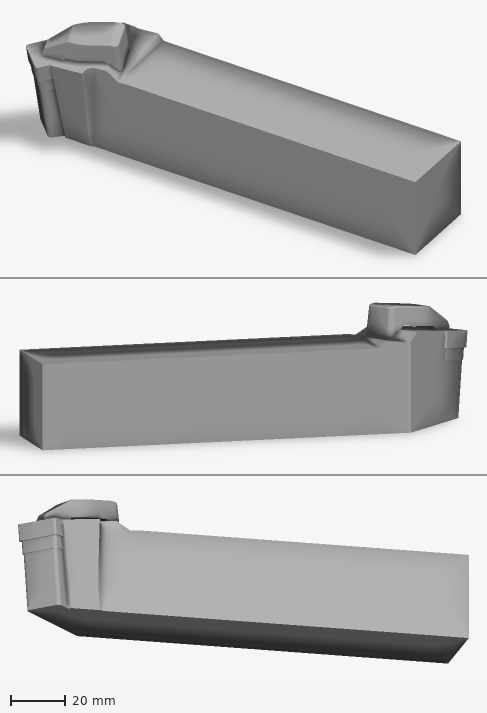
import cadquery as cq
import math

LENGTH = 169.7
SHANK = 32.0
HEADROOM = 67.9

NOSE_CORNER_X = 29.4
NECK_X = 28.8
NECK_RADIUS = 2.9
BULGE = 4.5
BULGE_RELIEF = 7.0
BULGE_CORNER_X = 15.1
HEAD_Z = 32.5

SEAT_TILT = 7.5
SEAT_Z = 31.9

INSERT_SIDE = 16.1
INSERT_THICKNESS = 6.3
INSERT_CHAMFER = 0.7
SHIM_THICKNESS = 4.8
SHIM_INSET = 0.5
SHIM_RADIUS = 1.5
NOSE_INSET = 0.8

CLAMP_ANGLE = 20.0
CLAMP_TIP_X = 8.3
CLAMP_TIP_Y = 2.4
RIDGE_U = 25.8
STRIP_END_U = 30.2
STRIP_DROP = 3.7
RUNOUT_X = 41.5

CLAMP_BACK_U = 30.4
CLAMP_BACK_RADIUS = 2.0
CLAMP_HALF_WIDTH = 8.0
CLAMP_TAPER = 21.0
CLAMP_SHOULDER_U = 12.7
CLAMP_FLANK_RADIUS = 16.5
CLAMP_DRAFT = 0.07
CLAMP_WEDGE_LEAN = 0.56
CLAMP_HEIGHT = 8.7
CLAMP_BACK_HEIGHT = 8.0
CLAMP_BREAK_U = 11.0
CLAMP_TOP_RIDGE_U = 27.3
CLAMP_TIP_LENGTH = 1.0
CLAMP_TIP_LOW = 1.7
CLAMP_TIP_HIGH = 3.5
PAD_END_U = 8.5
PAD_LIFT = 1.5
TAIL_DEPTH = 4.2
CLAMP_EDGE = 0.7

ROOT2 = math.sqrt(2)
SLOPE = math.tan(math.radians(SEAT_TILT))
NORMAL = cq.Vector(
    -math.sin(math.radians(SEAT_TILT)) / ROOT2,
    -math.sin(math.radians(SEAT_TILT)) / ROOT2,
    math.cos(math.radians(SEAT_TILT)),
)
ACROSS = cq.Vector(1, -1, 0).normalized()
CORNER_CUT = INSERT_CHAMFER / ROOT2

LOWEST_Y = -7.6
TIP_X = -CORNER_CUT
TIP_Y = LOWEST_Y - CORNER_CUT + INSERT_SIDE / ROOT2
SEAT = cq.Plane(origin=(TIP_X, TIP_Y, SEAT_Z), xDir=ACROSS, normal=NORMAL)


def seat_height(x, y):
    """Height of the seat plane above a point of the XY plane."""
    return SEAT_Z + SLOPE / ROOT2 * (x + y - TIP_X - TIP_Y)


CLAMP_SIDEWAYS_X = -math.sin(math.radians(CLAMP_ANGLE))
CLAMP_SIDEWAYS_Y = math.cos(math.radians(CLAMP_ANGLE))
CLAMP_SIDEWAYS = cq.Vector(
    CLAMP_SIDEWAYS_X,
    CLAMP_SIDEWAYS_Y,
    SLOPE / ROOT2 * (CLAMP_SIDEWAYS_X + CLAMP_SIDEWAYS_Y),
).normalized()
CLAMP_AXIS = CLAMP_SIDEWAYS.cross(NORMAL)
CLAMP_ORIGIN = cq.Vector(CLAMP_TIP_X, CLAMP_TIP_Y, seat_height(CLAMP_TIP_X, CLAMP_TIP_Y))
CLAMP_SEAT = cq.Plane(origin=CLAMP_ORIGIN, xDir=CLAMP_AXIS, normal=NORMAL)
CLAMP_SECTION = cq.Plane(origin=CLAMP_ORIGIN, xDir=CLAMP_AXIS, normal=-CLAMP_SIDEWAYS)


def seat_block(inset, left, top, thickness):
    """Square block parallel to the insert, its top a given depth below the seat plane."""
    side = INSERT_SIDE - inset
    return (
        cq.Workplane(SEAT)
        .workplane(offset=-top - thickness)
        .moveTo(left, inset)
        .lineTo(side, inset)
        .lineTo(side, side)
        .lineTo(left, side)
        .close()
        .extrude(thickness)
    )


def make_insert():
    return seat_block(0, 0, 0, INSERT_THICKNESS).edges(
        cq.selectors.ParallelDirSelector(NORMAL)
    ).chamfer(INSERT_CHAMFER)


def make_shim():
    return seat_block(SHIM_INSET, SHIM_INSET, INSERT_THICKNESS, SHIM_THICKNESS).edges(
        cq.selectors.ParallelDirSelector(NORMAL)
    ).fillet(SHIM_RADIUS)


def make_nose():
    """Support below the shim, flush with the head's 45 degree side face and cut off at Z = 0."""
    left = ((NOSE_CORNER_X - SHANK) - (TIP_X - TIP_Y)) / ROOT2
    column = seat_block(NOSE_INSET, left, INSERT_THICKNESS + SHIM_THICKNESS, SHANK)
    column = column.edges(cq.selectors.ParallelDirSelector(NORMAL)).fillet(SHIM_RADIUS)
    above_ground = cq.Workplane("XY").rect(2 * HEADROOM, 2 * HEADROOM).extrude(HEADROOM)
    return column.intersect(above_ground)


def make_block():
    """Shank and head in plan, with the round neck."""
    overhang = 2 * BULGE
    left_x = NOSE_CORNER_X - SHANK - overhang
    arc = NECK_RADIUS * (1 - 1 / ROOT2)
    return (
        cq.Workplane("XY")
        .moveTo(LENGTH, 0)
        .lineTo(LENGTH, SHANK)
        .lineTo(NOSE_CORNER_X, SHANK)
        .lineTo(left_x, -overhang)
        .lineTo(NECK_X, -overhang)
        .lineTo(NECK_X, -NECK_RADIUS)
        .threePointArc((NECK_X + arc, -arc), (NECK_X + NECK_RADIUS, 0))
        .close()
        .extrude(HEADROOM)
    )


def leaning_cutter(outward, lean):
    """Prism in front of a face through the bulge's upper left corner that leans back below it."""
    outward = outward.normalized()
    section = cq.Plane(
        origin=(BULGE_CORNER_X, -BULGE, HEAD_Z),
        xDir=outward,
        normal=outward.cross(cq.Vector(0, 0, 1)),
    )
    return (
        cq.Workplane(section)
        .moveTo(-HEAD_Z * lean, -HEAD_Z)
        .lineTo(HEADROOM, -HEAD_Z)
        .lineTo(HEADROOM, HEAD_Z)
        .lineTo(HEAD_Z * lean, HEAD_Z)
        .close()
        .extrude(HEADROOM, both=True)
    )


def trim_front(block):
    """Relieved front of the bulge, and the narrow face behind the nose that meets it."""
    lean = math.tan(math.radians(BULGE_RELIEF))
    bulge_front = leaning_cutter(cq.Vector(0, -1, 0), lean)
    behind_nose = leaning_cutter(cq.Vector(-1, -1, 0), ROOT2 * lean)
    return block.cut(bulge_front).cut(behind_nose)


def trim_top(block):
    """Seat plane, sloping strip and lower plane over the head, then the step to the shank's top."""
    head_profile = (
        cq.Workplane(CLAMP_SECTION)
        .moveTo(-HEADROOM, 0)
        .lineTo(RIDGE_U, 0)
        .lineTo(STRIP_END_U, -STRIP_DROP)
        .lineTo(2 * LENGTH, -STRIP_DROP)
        .lineTo(2 * LENGTH, -2 * LENGTH)
        .lineTo(-HEADROOM, -2 * LENGTH)
        .close()
        .extrude(LENGTH, both=True)
    )
    shank_profile = (
        cq.Workplane("XZ")
        .moveTo(LENGTH, 0)
        .lineTo(LENGTH, SHANK)
        .lineTo(RUNOUT_X, SHANK)
        .lineTo(RUNOUT_X - HEADROOM, SHANK + HEADROOM)
        .lineTo(RUNOUT_X - HEADROOM, 0)
        .close()
        .extrude(HEADROOM, both=True)
    )
    return block.intersect(head_profile).intersect(shank_profile)


def clamp_slab():
    """Full-length clamp bar with drafted parallel sides."""
    low_half = CLAMP_HALF_WIDTH + CLAMP_DRAFT * TAIL_DEPTH
    high_half = CLAMP_HALF_WIDTH - CLAMP_DRAFT * CLAMP_HEIGHT
    return (
        cq.Workplane("YZ")
        .moveTo(-low_half, -TAIL_DEPTH)
        .lineTo(low_half, -TAIL_DEPTH)
        .lineTo(high_half, CLAMP_HEIGHT)
        .lineTo(-high_half, CLAMP_HEIGHT)
        .close()
        .extrude(CLAMP_BACK_U)
    )


def clamp_wedge():
    """Wedge that tapers the clamp's front; it is sheared backward so that its sides lean inward."""
    slope = math.tan(math.radians(CLAMP_TAPER))
    point_u = CLAMP_SHOULDER_U - CLAMP_HALF_WIDTH / slope
    rise = TAIL_DEPTH + CLAMP_HEIGHT
    low_shift = -CLAMP_WEDGE_LEAN * TAIL_DEPTH
    outline = cq.Wire.makePolygon(
        [
            cq.Vector(point_u + low_shift, 0, -TAIL_DEPTH),
            cq.Vector(point_u + low_shift + HEADROOM, -HEADROOM * slope, -TAIL_DEPTH),
            cq.Vector(point_u + low_shift + HEADROOM, HEADROOM * slope, -TAIL_DEPTH),
        ],
        close=True,
    )
    return cq.Workplane(
        cq.Solid.extrudeLinear(outline, [], cq.Vector(CLAMP_WEDGE_LEAN * rise, 0, rise))
    )


def clamp_profile():
    """Side shape of the clamp: tip, slope, flat top, pad on the insert, gap and tail."""
    return (
        cq.Workplane("XZ")
        .moveTo(0, 0)
        .lineTo(0, CLAMP_TIP_LOW)
        .lineTo(CLAMP_TIP_LENGTH, CLAMP_TIP_HIGH)
        .lineTo(CLAMP_BREAK_U, CLAMP_HEIGHT)
        .lineTo(CLAMP_TOP_RIDGE_U, CLAMP_HEIGHT)
        .lineTo(CLAMP_BACK_U, CLAMP_BACK_HEIGHT)
        .lineTo(CLAMP_BACK_U, -TAIL_DEPTH)
        .lineTo(RIDGE_U, -TAIL_DEPTH)
        .lineTo(RIDGE_U, 0)
        .lineTo(RIDGE_U - PAD_LIFT, PAD_LIFT)
        .lineTo(PAD_END_U + PAD_LIFT / 2, PAD_LIFT)
        .lineTo(PAD_END_U, 0)
        .close()
        .extrude(HEADROOM, both=True)
    )


def is_upright(edge):
    """True for the corner edges that run from the clamp's underside to its upper faces."""
    box = edge.BoundingBox()
    return box.zlen > CLAMP_HEIGHT / 2 and box.ylen < CLAMP_HALF_WIDTH / 2 and box.xmin > CLAMP_BREAK_U


def is_rim(edge):
    """True for the outer edges of the clamp's upper faces, not for those between two of them."""
    center = edge.Center()
    on_side = abs(center.y) > CLAMP_TIP_LOW
    on_back = center.x > CLAMP_TOP_RIDGE_U + CLAMP_EDGE
    return edge.BoundingBox().zmin > CLAMP_TIP_HIGH - CLAMP_EDGE and (on_side or on_back)


def make_clamp():
    """Clamp in its own frame: Z = 0 is the seat plane and X runs back along the clamp."""
    clamp = clamp_slab().intersect(clamp_wedge()).intersect(clamp_profile())
    uprights = clamp.edges().filter(is_upright)
    clamp = uprights.filter(lambda edge: edge.Center().x < RIDGE_U).fillet(CLAMP_FLANK_RADIUS)
    back_corners = clamp.edges().filter(is_upright).filter(lambda edge: edge.Center().x > RIDGE_U)
    clamp = back_corners.fillet(CLAMP_BACK_RADIUS)
    clamp = clamp.edges().filter(is_rim).fillet(CLAMP_EDGE)
    return cq.Workplane(clamp.val().moved(cq.Location(CLAMP_SEAT)))


def make_holder(insert):
    body = trim_top(trim_front(make_block()))
    body = body.union(make_nose()).cut(insert)
    body = body.union(make_shim(), clean=False)
    return body.union(make_clamp(), clean=False)


insert = make_insert()
holder = make_holder(insert)
result = cq.Compound.makeCompound([holder.solids().val(), insert.solids().val()])